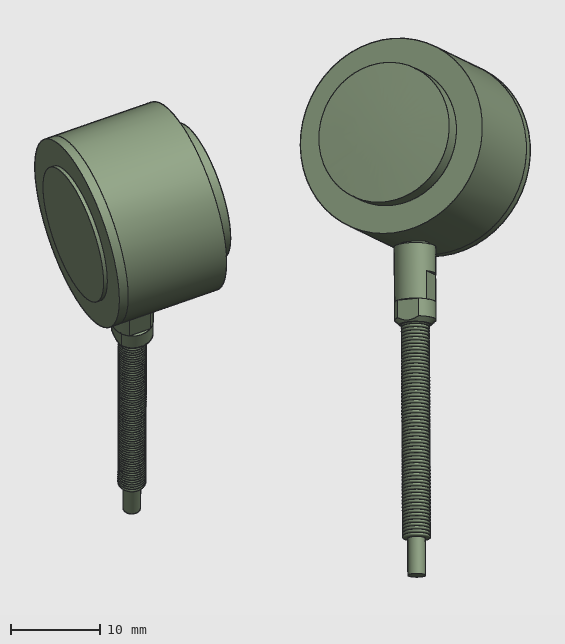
import cadquery as cq


case_diameter = 22.35
button_diameter = 16.0
case_depth = 12.2
case_back_y = 6.38
case_front_y = case_back_y - case_depth
button_height = 2.0
dome_rise = 0.24
cover_thickness = 1.1
cover_pad_height = 0.46
neck_socket_depth = 1.5

neck_diameter = 3.17
gland_diameter = 4.7
flat_spacing = 3.93
neck_top_z = neck_socket_depth - case_diameter / 2
gland_top_z = -11.5
gland_flat_top_z = -14.65
nut_top_z = -17.88
nut_cone_top_z = -19.9
nut_bottom_z = -20.42
nut_bottom_diameter = 3.6
coil_seat_depth = 0.22

wire_diameter = 0.381
coil_outer_diameter = 3.17
turn_count = 65
coil_top_z = nut_bottom_z + coil_seat_depth
cable_diameter = 2.01
cable_bottom_z = -49.21

tilt_about_y = 0.34
tilt_about_z = 0.2


def cylinder_along_y(diameter, start_y, end_y):
    """Cylinder about the Y axis between two Y positions."""
    return (
        cq.Workplane("XZ", origin=(0, start_y, 0))
        .circle(diameter / 2)
        .extrude(start_y - end_y)
    )


def cylinder_along_z(diameter, top_z, bottom_z):
    """Cylinder about the Z axis between two Z positions."""
    return (
        cq.Workplane("XY", origin=(0, 0, bottom_z))
        .circle(diameter / 2)
        .extrude(top_z - bottom_z)
    )


def make_housing():
    """Case with a domed load button on its back and a socket for the gland neck underneath."""
    case = cylinder_along_y(case_diameter, case_back_y, case_front_y)
    button_radius = button_diameter / 2
    rim_y = case_back_y + button_height
    apex_y = rim_y + dome_rise
    dome_radius = (button_radius**2 + dome_rise**2) / (2 * dome_rise)
    dome_center_y = apex_y - dome_radius
    mid_x = button_radius / 2
    mid_y = dome_center_y + (dome_radius**2 - mid_x**2) ** 0.5
    button = (
        cq.Workplane("XY")
        .moveTo(0, case_back_y)
        .lineTo(button_radius, case_back_y)
        .lineTo(button_radius, rim_y)
        .threePointArc((mid_x, mid_y), (0, apex_y))
        .close()
        .revolve(360, (0, 0, 0), (0, 1, 0))
    )
    socket = cylinder_along_z(neck_diameter, neck_top_z, gland_top_z)
    return case.union(button).cut(socket)


def make_cover():
    """Plate on the front of the housing, with a raised round pad."""
    plate_front_y = case_front_y - cover_thickness
    plate = cylinder_along_y(case_diameter, case_front_y, plate_front_y)
    pad = cylinder_along_y(button_diameter, plate_front_y, plate_front_y - cover_pad_height)
    return plate.union(pad)


def cable_bore(top_z, bottom_z):
    """Hole that the cable fills."""
    return cylinder_along_z(cable_diameter, top_z, bottom_z)


def make_gland():
    """Stem under the housing, with two wrench flats facing -X and +X on its lower part."""
    neck = cylinder_along_z(neck_diameter, neck_top_z, gland_top_z)
    stem = cylinder_along_z(gland_diameter, gland_top_z, gland_flat_top_z)
    flat_zone = cylinder_along_z(gland_diameter, gland_flat_top_z, nut_top_z)
    flats = cq.Workplane("XY", origin=(0, 0, nut_top_z)).rect(flat_spacing, gland_diameter)
    flat_zone = flat_zone.intersect(flats.extrude(gland_flat_top_z - nut_top_z))
    return neck.union(stem).union(flat_zone).cut(cable_bore(neck_top_z, nut_top_z))


def make_nut():
    """Nut with two wrench flats facing -Y and +Y and a conical lower end that seats the coil."""
    turned = (
        cq.Workplane("XZ")
        .moveTo(0, nut_top_z)
        .lineTo(gland_diameter / 2, nut_top_z)
        .lineTo(gland_diameter / 2, nut_cone_top_z)
        .lineTo(nut_bottom_diameter / 2, nut_bottom_z)
        .lineTo(0, nut_bottom_z)
        .close()
        .revolve(360, (0, 0, 0), (0, 1, 0))
    )
    flats = cq.Workplane("XY", origin=(0, 0, nut_bottom_z)).rect(gland_diameter, flat_spacing)
    nut = turned.intersect(flats.extrude(nut_top_z - nut_bottom_z))
    coil_seat = cylinder_along_z(coil_outer_diameter, coil_top_z, nut_bottom_z)
    return nut.cut(cable_bore(nut_top_z, nut_bottom_z)).cut(coil_seat)


def make_coil():
    """Sleeve around the cable whose outside is a stack of close, rounded turns."""
    wire_radius = wire_diameter / 2
    crest_radius = coil_outer_diameter / 2
    valley_radius = crest_radius - wire_radius
    coil_bottom_z = coil_top_z - turn_count * wire_diameter
    profile = (
        cq.Workplane("XZ")
        .moveTo(cable_diameter / 2, coil_top_z)
        .lineTo(valley_radius, coil_top_z)
    )
    for turn in range(turn_count):
        turn_top_z = coil_top_z - turn * wire_diameter
        profile = profile.threePointArc(
            (crest_radius, turn_top_z - wire_radius),
            (valley_radius, turn_top_z - wire_diameter),
        )
    profile = profile.lineTo(cable_diameter / 2, coil_bottom_z).close()
    return profile.revolve(360, (0, 0, 0), (0, 1, 0))


def make_cable():
    """Cable from the top of the gland neck down through the nut and coil to its free end."""
    return cylinder_along_z(cable_diameter, neck_top_z, cable_bottom_z)


def tilt(body):
    """Turn a finished body by the small tilt that all bodies share."""
    turned = body.rotate((0, 0, 0), (0, 1, 0), tilt_about_y)
    return turned.rotate((0, 0, 0), (0, 0, 1), tilt_about_z)


housing = tilt(make_housing())
cover = tilt(make_cover())
gland = tilt(make_gland())
nut = tilt(make_nut())
coil = tilt(make_coil())
cable = tilt(make_cable())

result = cq.Compound.makeCompound(
    [
        housing.val(),
        cover.val(),
        gland.val(),
        nut.val(),
        coil.val(),
        cable.val(),
    ]
)